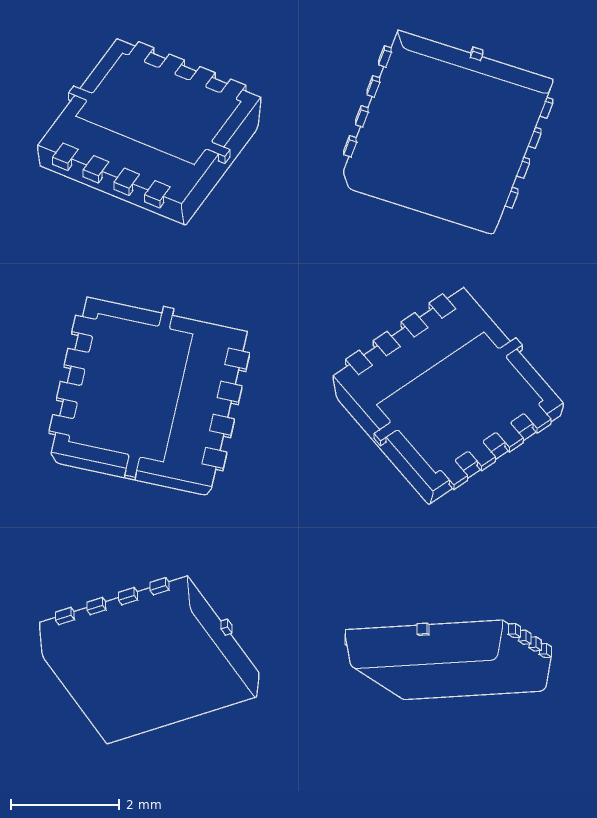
import cadquery as cq
import math

span = 3.3
height = 0.75
housing_width = 3.035
metal_thickness = 0.198
lead_pitch = 0.647
lead_width = 0.325
lead_count = 4
land_width = 2.5
land_front = -0.548
land_back = 1.247
tie_bar_width = 0.198
corner_radius = 0.05

rim_height = 0.142
draft_angle = 10.0
bottom_radius = 0.145

half_span = span / 2
half_housing = housing_width / 2
metal_bottom = height - metal_thickness
lead_length = half_span - land_back
lead_centers = [(i - (lead_count - 1) / 2) * lead_pitch for i in range(lead_count)]


def metal_plate(x_size, y_min, y_max, x_center=0.0):
    """Flat rectangular piece of the metal layer, flush with the top face."""
    y_size = y_max - y_min
    return (
        cq.Workplane("XY", origin=(x_center, (y_min + y_max) / 2, metal_bottom))
        .rect(x_size, y_size)
        .extrude(metal_thickness)
    )


def make_drain():
    """Land with a tie bar out to each side and a row of fingers at the back."""
    land = metal_plate(land_width, land_front, land_back)
    drain = land.union(metal_plate(span, -tie_bar_width / 2, tie_bar_width / 2))
    for x in lead_centers:
        drain = drain.union(metal_plate(lead_width, land_front, half_span, x))

    roots = [(x + side * lead_width / 2, land_back) for x in lead_centers for side in (-1, 1)]
    roots += [(sx * land_width / 2, sy * tie_bar_width / 2) for sx in (-1, 1) for sy in (-1, 1)]
    for x, y in roots:
        corner = cq.selectors.NearestToPointSelector((x, y, height - metal_thickness / 2))
        drain = drain.edges("|Z").edges(corner).fillet(corner_radius)
    return drain


def make_lead(x):
    """Single front lead, let into the housing and reaching past its front wall."""
    return metal_plate(lead_width, -half_span, -half_span + lead_length, x)


def make_housing(metal_bodies):
    """Molded block with leaning front and back walls and a recess for each metal body."""
    rim_bottom = height - rim_height
    half_bottom = half_housing - rim_bottom * math.tan(math.radians(draft_angle))
    housing = (
        cq.Workplane("YZ", origin=(-half_housing, 0, 0))
        .moveTo(-half_housing, height)
        .lineTo(half_housing, height)
        .lineTo(half_housing, rim_bottom)
        .lineTo(half_bottom, 0)
        .lineTo(-half_bottom, 0)
        .lineTo(-half_housing, rim_bottom)
        .close()
        .extrude(housing_width)
        .edges("|X and <Z")
        .fillet(bottom_radius)
    )
    for body in metal_bodies:
        housing = housing.cut(body)
    return housing


drain = make_drain()
leads = [make_lead(x) for x in lead_centers]
housing = make_housing([drain, *leads])

result = cq.Compound.makeCompound([housing.val(), drain.val(), *[lead.val() for lead in leads]])